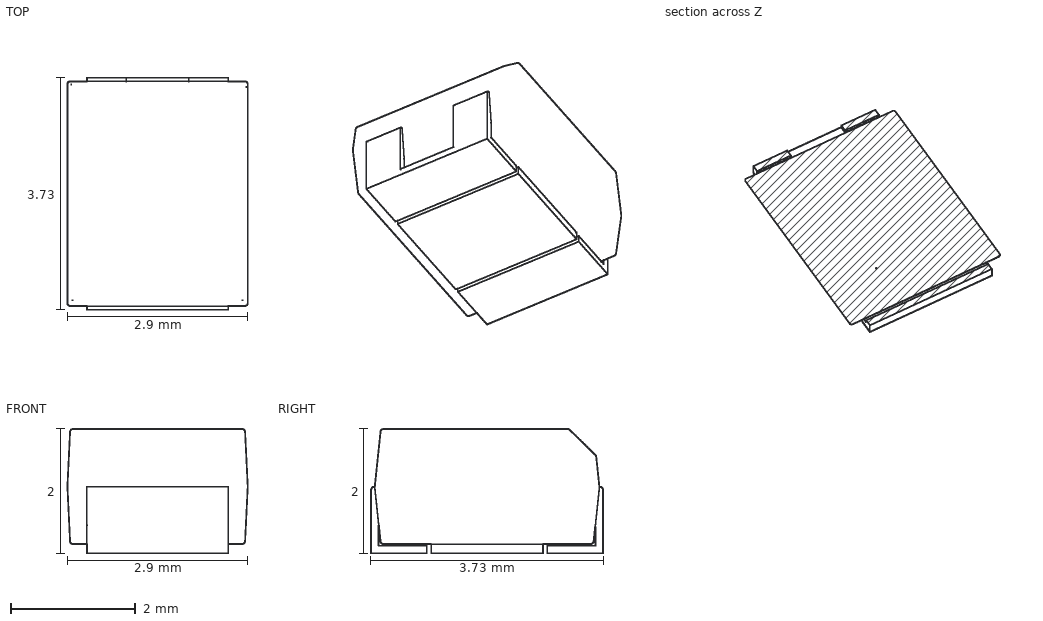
import cadquery as cq

HEIGHT = 2.0
BODY_BOTTOM = 0.15
PARTING_Z = (HEIGHT + BODY_BOTTOM) / 2

BODY_WIDTH = 2.9
BODY_LENGTH = 3.61
SIDE_INSET = 0.045
END_INSET = 0.097
BEVEL_RUN = 0.44
BEVEL_DROP = 0.43
BODY_ROUND = 0.05

LEAD_SPAN = 3.73
LEAD_WIDTH = 2.27
LEAD_THICKNESS = 0.125
FOOT_LENGTH = 0.9
LEAD_TOP_ROUND = 0.06
FOOT_GAP = 0.065
NOTCH_WIDTH = 1.0


def make_body():
    """Intersect the front and side outlines, then round the edges."""
    half_width = BODY_WIDTH / 2
    half_length = BODY_LENGTH / 2
    narrow = half_width - SIDE_INSET
    short = half_length - END_INSET
    bevel_z = HEIGHT - BEVEL_DROP
    upper_height = HEIGHT - PARTING_Z
    bevel_end_y = half_length - END_INSET * (bevel_z - PARTING_Z) / upper_height

    front_outline = [
        (-narrow, BODY_BOTTOM),
        (narrow, BODY_BOTTOM),
        (half_width, PARTING_Z),
        (narrow, HEIGHT),
        (-narrow, HEIGHT),
        (-half_width, PARTING_Z),
    ]
    side_outline = [
        (-short, BODY_BOTTOM),
        (short, BODY_BOTTOM),
        (half_length, PARTING_Z),
        (bevel_end_y, bevel_z),
        (bevel_end_y - BEVEL_RUN, HEIGHT),
        (-short, HEIGHT),
        (-half_length, PARTING_Z),
    ]
    across = cq.Workplane("XZ").polyline(front_outline).close().extrude(half_length, both=True)
    along = cq.Workplane("YZ").polyline(side_outline).close().extrude(half_width, both=True)
    body = across.intersect(along)

    level_tolerance = 1e-4
    round_edges = [e for e in body.edges().vals() if abs(e.Center().z - PARTING_Z) > level_tolerance]
    return body.newObject(round_edges).fillet(BODY_ROUND)


def make_lead():
    """L-shaped lead at the +Y end, its upright reaching the parting level."""
    outer_y = LEAD_SPAN / 2
    inner_y = outer_y - LEAD_THICKNESS
    toe_y = outer_y - FOOT_LENGTH
    profile = (
        cq.Workplane("YZ")
        .moveTo(toe_y, 0)
        .lineTo(outer_y, 0)
        .lineTo(outer_y, PARTING_Z)
        .lineTo(inner_y, PARTING_Z)
        .lineTo(inner_y, LEAD_THICKNESS)
        .lineTo(toe_y, LEAD_THICKNESS)
        .close()
    )
    lead = profile.extrude(LEAD_WIDTH / 2, both=True)
    return lead.faces(">Y").edges(">Z").fillet(LEAD_TOP_ROUND)


def cut_notch(lead):
    """Open the middle of the upright down to the foot."""
    opening = cq.Workplane().box(NOTCH_WIDTH, LEAD_THICKNESS, PARTING_Z, centered=(True, False, False))
    return lead.cut(opening.translate((0, LEAD_SPAN / 2 - LEAD_THICKNESS, LEAD_THICKNESS)))


def make_pad():
    """Flat pad under the body, filling the space between the two feet."""
    pad_length = LEAD_SPAN - 2 * (FOOT_LENGTH + FOOT_GAP)
    return cq.Workplane().box(LEAD_WIDTH, pad_length, BODY_BOTTOM, centered=(True, True, False))


front_lead = make_lead().mirror("XZ")
rear_lead = cut_notch(make_lead())
result = make_body().union(rear_lead).union(front_lead).union(make_pad())